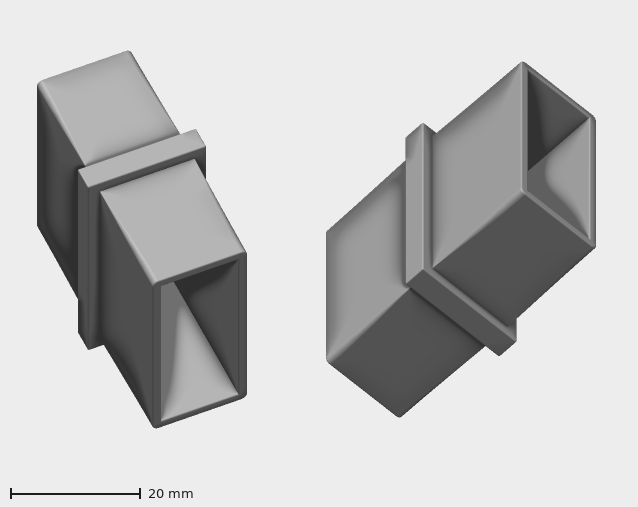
import cadquery as cq
import math

LENGTH = 44.0
FLANGE_THICKNESS = 4.0
FLANGE_WIDTH = 20.0
FLANGE_HEIGHT = 40.0
FLANGE_LIP = 2.0
TUBE_WIDTH = FLANGE_WIDTH - 2 * FLANGE_LIP
TUBE_HEIGHT = FLANGE_HEIGHT - 2 * FLANGE_LIP
EDGE_RADIUS = 0.25

WALL = 1.5

CORNER_RADIUS = 1.0
FADE_END_RADIUS = 0.01
FADE_EXPONENT = 1.5
FADE_SECTIONS = 6
CUTTER_MARGIN = 1.0


def flange():
    """Plate around the middle of the tube with all its edges rounded."""
    plate = cq.Workplane("XY").box(FLANGE_THICKNESS, FLANGE_WIDTH, FLANGE_HEIGHT)
    return plate.edges().fillet(EDGE_RADIUS)


def corner_section(x, radius):
    """Closed wire at x: the region outside a rounded corner of the tube at +Y +Z."""
    side = TUBE_WIDTH / 2
    top = TUBE_HEIGHT / 2
    arc_inset = radius * (1 - math.cos(math.pi / 4))
    return (
        cq.Workplane("YZ", origin=(x, 0, 0))
        .moveTo(side - radius, top)
        .threePointArc((side - arc_inset, top - arc_inset), (side, top - radius))
        .lineTo(side + CUTTER_MARGIN, top - radius)
        .lineTo(side + CUTTER_MARGIN, top + CUTTER_MARGIN)
        .lineTo(side - radius, top + CUTTER_MARGIN)
        .close()
        .val()
    )


def corner_cutter():
    """Tool that rounds the +Y +Z corner from the +X end to the flange."""
    end_x = LENGTH / 2
    run = end_x - FLANGE_THICKNESS / 2
    sections = []
    for index in range(FADE_SECTIONS + 1):
        fraction = index / FADE_SECTIONS
        fade = 1 - fraction ** FADE_EXPONENT
        radius = FADE_END_RADIUS + (CORNER_RADIUS - FADE_END_RADIUS) * fade
        sections.append(corner_section(end_x - run * fraction, radius))
    return cq.Workplane(cq.Solid.makeLoft(sections))


def tube():
    """Solid tube body with fading rounded corners on both sides of the flange."""
    body = cq.Workplane("XY").box(LENGTH, TUBE_WIDTH, TUBE_HEIGHT)
    upper_cutter = corner_cutter()
    for level_cutter in (upper_cutter, upper_cutter.mirror("XY")):
        for cutter in (level_cutter, level_cutter.mirror("XZ")):
            body = body.cut(cutter).cut(cutter.mirror("YZ"))
    return body


def bore():
    """Tool for the straight rectangular passage along X."""
    return cq.Workplane("XY").box(LENGTH, TUBE_WIDTH - 2 * WALL, TUBE_HEIGHT - 2 * WALL)


pierced_tube = tube().cut(bore())
rounded_tube = pierced_tube.faces("<X or >X").edges().fillet(EDGE_RADIUS)
result = rounded_tube.union(flange().cut(bore()))